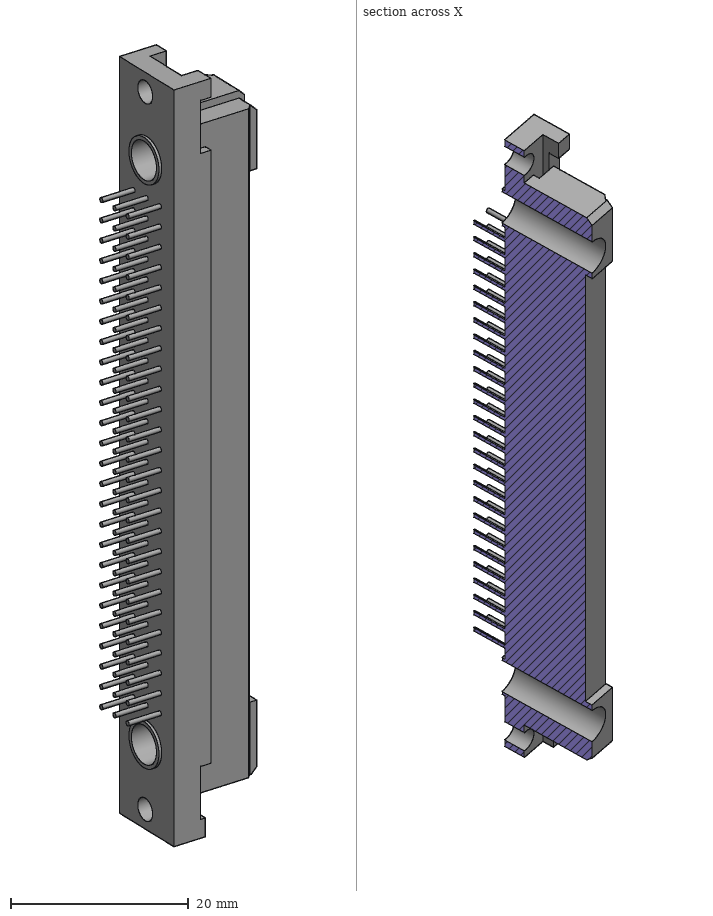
import cadquery as cq


flange_width = 10.5
flange_length = 94.9
top_end = flange_length / 2
bottom_end = -top_end
rail_height = 5.1
bottom_ear_height = 4.4
notch_floor = 3.7
notch_outer = 45.1
notch_inner = 38.4
slot_width = 6.1
slot_floor = 2.8
ear_shift = -0.3

shell_width = 8.35
shell_half_length = 42.4
shell_rear = 11.7
shell_chamfer = 0.6
pad_width = 7.3
pad_length = 9.1
pad_height = 0.95
pad_chamfer = 0.8

tongue_left = -1.6
tongue_right = 1.3
pocket_depth = 2.8
step_depth = 0.95

bushing_offset = 36.6
bushing_diameter = 5.8
bushing_bore = 4.8
bushing_height = 0.4
screw_offset = 45.0
screw_diameter = 2.8

pin_diameter = 0.6
pin_length = 4.5
pin_field_length = 63.6
pin_rows = 26
pin_pitch = pin_field_length / (pin_rows - 1)
pin_columns = 3


def block(x_min, x_max, y_min, y_max, z_min, z_max):
    """Axis-aligned box given by its limits."""
    size = (x_max - x_min, y_max - y_min, z_max - z_min)
    return cq.Workplane("XY").box(*size, centered=False).translate((x_min, y_min, z_min))


def centred_block(width, y_min, y_max, z_min, z_max):
    """Box that is symmetric about X = 0."""
    return block(-width / 2, width / 2, y_min, y_max, z_min, z_max)


def rods(points, diameter, y_min, y_max):
    """Round rods along Y through the given (x, z) points."""
    plane = cq.Workplane("XZ", origin=(0, y_max, 0))
    return plane.pushPoints(points).circle(diameter / 2).extrude(y_max - y_min)


def make_flange():
    """Side profile with ears and notches, slotted at both ends."""
    profile = [
        (0, bottom_end),
        (bottom_ear_height, bottom_end),
        (bottom_ear_height, -notch_outer),
        (notch_floor, -notch_outer),
        (notch_floor, -notch_inner),
        (rail_height, -notch_inner),
        (rail_height, notch_inner),
        (notch_floor, notch_inner),
        (notch_floor, notch_outer),
        (rail_height, notch_outer),
        (rail_height, top_end),
        (0, top_end),
    ]
    flange = cq.Workplane("YZ").polyline(profile).close().extrude(flange_width / 2, both=True)
    pocket_floor = shell_half_length - pocket_depth
    top_slot = centred_block(slot_width, slot_floor, rail_height, pocket_floor, top_end)
    bottom_slot = centred_block(slot_width, slot_floor, rail_height, bottom_end, -shell_half_length)
    return flange.cut(top_slot.union(bottom_slot).translate((ear_shift, 0, 0)))


def make_pad(x_min, x_max, end):
    """Raised rear pad whose end edge, at height `end`, is chamfered."""
    pad_bottom = shell_half_length - pad_length
    pad = block(x_min, x_max, shell_rear, shell_rear + pad_height, pad_bottom, end)
    return pad.edges(">Y and >Z").chamfer(pad_chamfer)


def make_shell():
    """Long housing with chamfered rear edges and a raised pad at each end."""
    shell = centred_block(shell_width, notch_floor, shell_rear, -shell_half_length, shell_half_length)
    shell = shell.faces(">Y").edges("|Z").chamfer(shell_chamfer)

    step_level = shell_half_length - step_depth
    shell = shell.cut(
        block(tongue_right, shell_width / 2, notch_floor, shell_rear, step_level, shell_half_length)
    )
    pocket_floor = shell_half_length - pocket_depth
    tongue = block(tongue_left, tongue_right, slot_floor, notch_floor, pocket_floor, shell_half_length)

    half_pad = pad_width / 2
    shell = shell.union(tongue)
    shell = shell.union(make_pad(-half_pad, tongue_right, shell_half_length))
    shell = shell.union(make_pad(tongue_right, half_pad, step_level))
    return shell.union(make_pad(-half_pad, half_pad, shell_half_length).mirror("XY"))


def make_pins():
    """Grid of contact pins, rooted at the middle of the flange floor."""
    points = [
        ((column - (pin_columns - 1) / 2) * pin_pitch, (row - (pin_rows - 1) / 2) * pin_pitch)
        for column in range(pin_columns)
        for row in range(pin_rows)
    ]
    return rods(points, pin_diameter, -pin_length, slot_floor / 2)


bushing_points = [(0, side * bushing_offset) for side in (-1, 1)]
screw_points = [(ear_shift, side * screw_offset) for side in (-1, 1)]

housing = make_flange().union(make_shell())
housing = housing.union(rods(bushing_points, bushing_diameter, -bushing_height, slot_floor))
housing = housing.cut(rods(bushing_points, bushing_bore, -bushing_height, shell_rear + pad_height))
housing = housing.cut(rods(screw_points, screw_diameter, 0, slot_floor))

result = housing.union(make_pins())